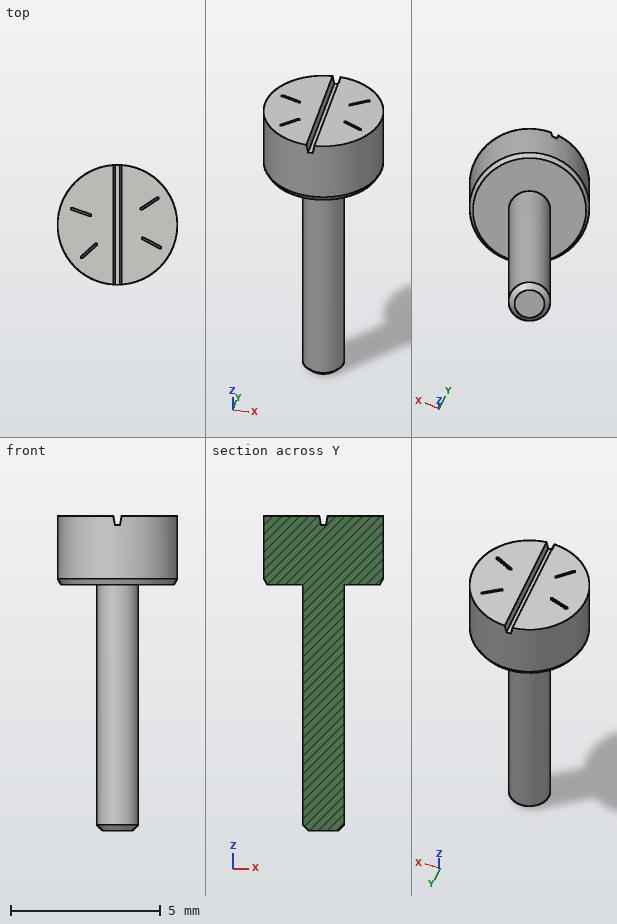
import cadquery as cq
import math

total_height = 10.5
head_diameter = 4.0
head_height = 2.3
shank_diameter = 1.4

head_chamfer_height = 0.2
head_chamfer_angle = 30.0
tip_chamfer = 0.2

slot_top_width = 0.27
slot_floor_width = 0.16
slot_depth = 0.3

mark_angles = (33.5, -28.0, 160.6, 222.4)
mark_inner_radius = 0.92
mark_outer_radius = 1.65
mark_width = 0.07
mark_depth = 0.05


def make_body():
    """Revolve the stepped half profile of head and shank about Z."""
    head_radius = head_diameter / 2
    shank_radius = shank_diameter / 2
    head_bottom = total_height - head_height
    head_chamfer_width = head_chamfer_height * math.tan(math.radians(head_chamfer_angle))
    profile = [
        (0, 0),
        (shank_radius - tip_chamfer, 0),
        (shank_radius, tip_chamfer),
        (shank_radius, head_bottom),
        (head_radius - head_chamfer_width, head_bottom),
        (head_radius, head_bottom + head_chamfer_height),
        (head_radius, total_height),
        (0, total_height),
    ]
    return cq.Workplane("XZ").polyline(profile).close().revolve(360, (0, 0), (0, 1))


def make_driver_slot():
    """Trapezoidal prism along Y, open at the head face and at both ends."""
    floor = total_height - slot_depth
    section = [
        (-slot_top_width / 2, total_height),
        (-slot_floor_width / 2, floor),
        (slot_floor_width / 2, floor),
        (slot_top_width / 2, total_height),
    ]
    return cq.Workplane("XZ").polyline(section).close().extrude(head_diameter / 2, both=True)


def make_dial_mark(angle):
    """Shallow round-ended groove pointing away from the axis."""
    mark_length = mark_outer_radius - mark_inner_radius
    mid_radius = (mark_inner_radius + mark_outer_radius) / 2
    groove = (
        cq.Workplane("XY", origin=(0, 0, total_height))
        .center(mid_radius, 0)
        .slot2D(mark_length, mark_width)
        .extrude(-mark_depth)
    )
    return groove.rotate((0, 0, 0), (0, 0, 1), angle)


result = make_body().cut(make_driver_slot())
for mark_angle in mark_angles:
    result = result.cut(make_dial_mark(mark_angle))